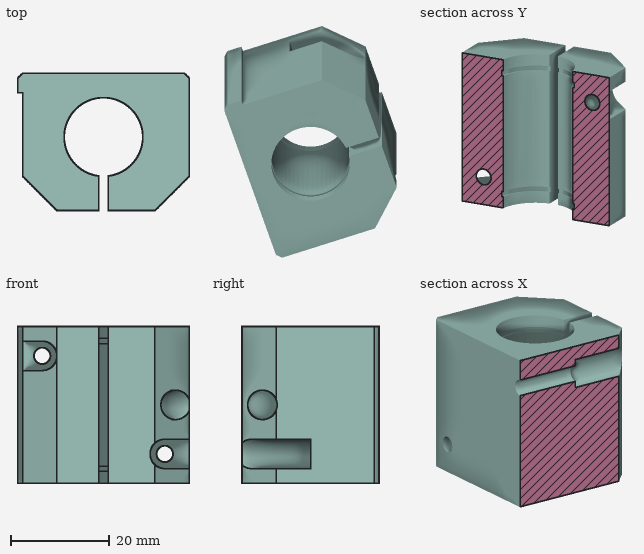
import cadquery as cq

HEIGHT = 32.0
HALF_WIDTH = 17.5
BACK_Y = 13.0
FRONT_Y = -15.0
FRONT_CHAMFER = 7.0
BACK_CHAMFER = 1.0

LIP_PROJECTION = 1.0
LIP_DEPTH = 4.0

BORE_DIAMETER = 16.0
BEARING_LENGTH = 25.0
RING_GROOVE_WIDTH = 1.05
RING_GROOVE_DIAMETER = 16.8
CLAMP_SLOT_WIDTH = 1.9

SCREW_X = 12.5
SCREW_Z = 10.0
SCREW_HOLE_DIAMETER = 3.3
SCREW_POCKET_WIDTH = 6.0
SCREW_POCKET_FLOOR_Y = -1.0

CLAMP_RECESS_DIAMETER = 6.0
CLAMP_RECESS_Y = -10.8
CLAMP_RECESS_FLOOR_X = HALF_WIDTH - FRONT_CHAMFER


def make_body():
    side_x = HALF_WIDTH - LIP_PROJECTION
    lip_y = BACK_Y - LIP_DEPTH
    outline = [
        (-side_x + FRONT_CHAMFER, FRONT_Y),
        (HALF_WIDTH - FRONT_CHAMFER, FRONT_Y),
        (HALF_WIDTH, FRONT_Y + FRONT_CHAMFER),
        (HALF_WIDTH, BACK_Y - BACK_CHAMFER),
        (HALF_WIDTH - BACK_CHAMFER, BACK_Y),
        (-HALF_WIDTH + BACK_CHAMFER, BACK_Y),
        (-HALF_WIDTH, BACK_Y - BACK_CHAMFER),
        (-HALF_WIDTH, lip_y),
        (-side_x, lip_y),
        (-side_x, FRONT_Y + FRONT_CHAMFER),
    ]
    return cq.Workplane("XY").polyline(outline).close().extrude(HEIGHT / 2, both=True)


def make_ring_groove(bottom_z):
    return (
        cq.Workplane("XY", origin=(0, 0, bottom_z))
        .circle(RING_GROOVE_DIAMETER / 2)
        .extrude(RING_GROOVE_WIDTH)
    )


def make_clamp_bore():
    bore = cq.Workplane("XY").circle(BORE_DIAMETER / 2).extrude(HEIGHT / 2, both=True)
    slot = cq.Workplane("XY").box(
        CLAMP_SLOT_WIDTH, -FRONT_Y, HEIGHT, centered=(True, False, True)
    ).translate((0, FRONT_Y, 0))
    upper_groove = make_ring_groove(BEARING_LENGTH / 2)
    lower_groove = make_ring_groove(-BEARING_LENGTH / 2 - RING_GROOVE_WIDTH)
    return bore.union(slot).union(upper_groove).union(lower_groove)


def make_screw_cut(side):
    """Pocket and through hole; side is +1 for the +X lower corner, -1 for the -X upper one."""
    x = side * SCREW_X
    z = -side * SCREW_Z
    pocket_depth = SCREW_POCKET_FLOOR_Y - FRONT_Y
    run_out = HALF_WIDTH - SCREW_X
    floor = cq.Workplane("XZ", origin=(x, SCREW_POCKET_FLOOR_Y, z))
    round_end = floor.circle(SCREW_POCKET_WIDTH / 2).extrude(pocket_depth)
    opening = floor.center(side * run_out / 2, 0).rect(run_out, SCREW_POCKET_WIDTH).extrude(pocket_depth)
    hole = (
        cq.Workplane("XZ", origin=(x, BACK_Y, z))
        .circle(SCREW_HOLE_DIAMETER / 2)
        .extrude(BACK_Y - FRONT_Y)
    )
    return round_end.union(opening).union(hole)


def make_clamp_recess():
    return (
        cq.Workplane("YZ", origin=(CLAMP_RECESS_FLOOR_X, CLAMP_RECESS_Y, 0))
        .circle(CLAMP_RECESS_DIAMETER / 2)
        .extrude(HALF_WIDTH - CLAMP_RECESS_FLOOR_X)
    )


result = make_body().cut(make_clamp_bore())
for side in (1, -1):
    result = result.cut(make_screw_cut(side))
result = result.cut(make_clamp_recess())